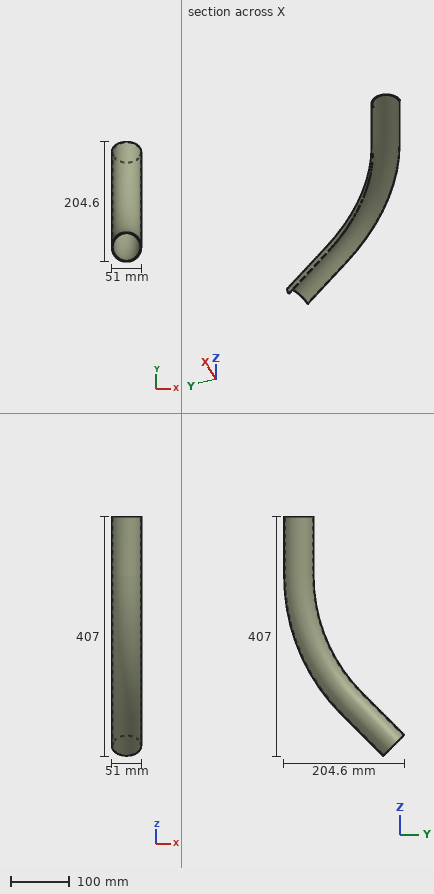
import cadquery as cq
import math

overall_height = 407.0
outer_diameter = 51.0
inner_diameter = 46.5
leg_length = 101.0
bend_angle = 45.0

sin_bend = math.sin(math.radians(bend_angle))
cos_bend = math.cos(math.radians(bend_angle))

lower_rim_drop = outer_diameter / 2 * sin_bend
legs_height = leg_length * (1 + sin_bend)
bend_radius = (overall_height - legs_height - lower_rim_drop) / sin_bend


def bend_point(angle):
    """Point (y, z) on the bend centreline, turned by angle from the upper leg."""
    turn = math.radians(angle)
    return (
        bend_radius * (1 - math.cos(turn)),
        -leg_length - bend_radius * math.sin(turn),
    )


bend_end = bend_point(bend_angle)
lower_end = (
    bend_end[0] + leg_length * sin_bend,
    bend_end[1] - leg_length * cos_bend,
)
centreline = (
    cq.Workplane("YZ")
    .lineTo(0, -leg_length)
    .threePointArc(bend_point(bend_angle / 2), bend_end)
    .lineTo(*lower_end)
)

result = (
    cq.Workplane("XY")
    .circle(outer_diameter / 2)
    .circle(inner_diameter / 2)
    .sweep(centreline)
)